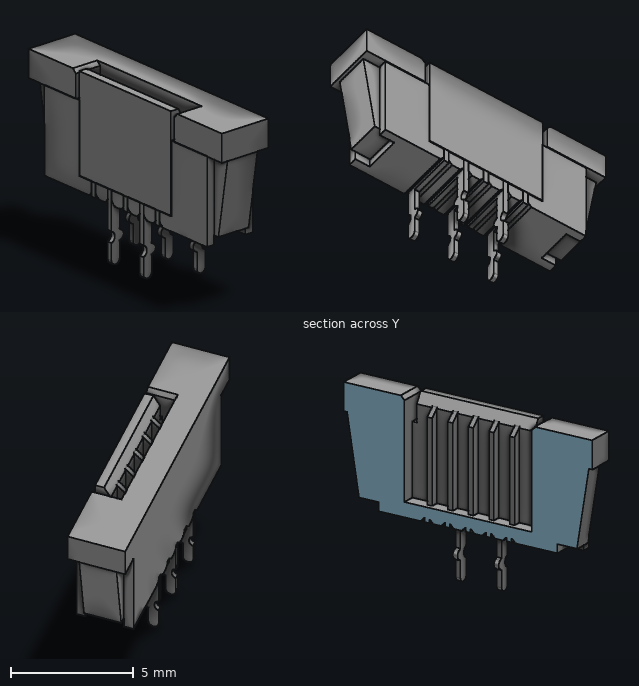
import cadquery as cq

length = 12.1
depth = 2.52
height = 7.96

head_height = 1.3
head_bottom = height - head_height
head_front = -depth / 2
head_back = depth / 2

body_length = 10.16
body_bottom = 2.65
body_setback = 0.04
body_front = head_front + body_setback

groove_width = 1.68
groove_depth = 0.73
core_length = body_length - 2 * groove_depth
leg_gap = 0.03
leg_width = groove_width - 2 * leg_gap
leg_bottom = 3.05
leg_span_top = 11.79
leg_span_bottom = 10.62

opening_width = 6.16
opening_back = 0.05
opening_chamfer = 0.18
cavity_front = -0.57
cavity_floor = 3.34

plate_width = 5.72
plate_bottom = cavity_floor
plate_chamfer_depth = 0.29
plate_chamfer_drop = 0.48

pin_count = 5
pin_row_span = 4.0
pin_pitch = pin_row_span / (pin_count - 1)
pin_thickness = 0.24
pin_width = 0.45
pin_outer = 1.23
pin_embed = 0.36
pin_root = body_bottom + pin_embed
contact_reach = 0.35
contact_embed = 0.04
contact_rise = contact_embed * plate_chamfer_drop / plate_chamfer_depth
contact_drop = 0.36

blade_setback = 0.01
blade_front = head_front + blade_setback

kink_height = 1.25
notch_half_height = 0.25
notch_depth = 0.18
bump_half_height = 0.27
bump_arc_half_height = 0.2
bump_depth = 0.22
bump_shoulder_depth = 0.08

mouth_flare = 0.18


def block(x_size, y_low, y_high, z_low, z_high):
    """Box centred on X between the given Y and Z limits."""
    return (
        cq.Workplane("XY")
        .box(x_size, y_high - y_low, z_high - z_low, centered=(True, False, False))
        .translate((0, y_low, z_low))
    )


def extrude_along_x(yz_outline, width, x_centre=0):
    """Extrude a closed outline in the YZ plane symmetrically about x_centre."""
    return yz_outline.extrude(width / 2, both=True).translate((x_centre, 0, 0))


def make_head():
    """Top slab with the cable opening, chamfered at both ends, cut from its front."""
    head = block(length, head_front, head_back, head_bottom, height)
    half = opening_width / 2
    notch = (
        cq.Workplane("XZ", origin=(0, opening_back, 0))
        .moveTo(-half, head_bottom)
        .lineTo(-half, height - opening_chamfer)
        .lineTo(-half - opening_chamfer, height)
        .lineTo(half + opening_chamfer, height)
        .lineTo(half, height - opening_chamfer)
        .lineTo(half, head_bottom)
        .close()
        .extrude(opening_back - head_front)
    )
    return head.cut(notch)


def make_body():
    """Main block with a groove in each end and the cable cavity."""
    body = block(body_length, body_front, head_back, body_bottom, head_bottom)
    core = block(core_length, body_front, head_back, body_bottom, head_bottom)
    groove_zone = block(body_length, -groove_width / 2, groove_width / 2, body_bottom, head_bottom)
    end_grooves = groove_zone.cut(core)
    cavity = block(opening_width, cavity_front, opening_back, cavity_floor, head_bottom)
    return body.cut(end_grooves).cut(cavity)


def make_legs():
    """Pair of legs that taper downward, reaching in as far as the body core."""
    wedge = (
        cq.Workplane("XZ")
        .moveTo(-leg_span_top / 2, head_bottom)
        .lineTo(leg_span_top / 2, head_bottom)
        .lineTo(leg_span_bottom / 2, leg_bottom)
        .lineTo(-leg_span_bottom / 2, leg_bottom)
        .close()
        .extrude(leg_width / 2, both=True)
    )
    core = block(core_length, head_front, head_back, leg_bottom, head_bottom)
    return wedge.cut(core)


def make_plate():
    """Front wall of the cable opening."""
    outline = (
        cq.Workplane("YZ")
        .moveTo(head_front, plate_bottom)
        .lineTo(head_front, height)
        .lineTo(cavity_front - plate_chamfer_depth, height)
        .lineTo(cavity_front, height - plate_chamfer_drop)
        .lineTo(cavity_front, plate_bottom)
        .close()
    )
    return extrude_along_x(outline, plate_width)


def make_mouth(x):
    """Cutter for the flared mouth, running through the full depth of the body."""
    half = pin_thickness / 2
    return (
        cq.Workplane("XZ", origin=(x, head_back, 0))
        .moveTo(-half - mouth_flare, body_bottom)
        .lineTo(-half, body_bottom + mouth_flare)
        .lineTo(half, body_bottom + mouth_flare)
        .lineTo(half + mouth_flare, body_bottom)
        .close()
        .extrude(depth)
    )


def make_contact(x):
    """Contact blade in the cavity, its sloped top running up onto the plate chamfer."""
    top = height - plate_chamfer_drop + contact_rise
    tip = cavity_front + contact_reach
    outline = (
        cq.Workplane("YZ")
        .moveTo(cavity_front - contact_embed, cavity_floor)
        .lineTo(cavity_front - contact_embed, top)
        .lineTo(tip, top - contact_drop)
        .lineTo(tip, cavity_floor)
        .close()
    )
    return extrude_along_x(outline, pin_thickness, x)


def make_pin(x, side):
    """Solder pin at the back (side = 1) or front (side = -1) of the body."""
    outer = side * pin_outer
    inner = side * (pin_outer - pin_width)
    middle = (outer + inner) / 2
    tip_start = pin_width / 2
    notch_floor = outer - side * notch_depth
    bump_shoulder = inner - side * bump_shoulder_depth
    bump_peak = inner - side * bump_depth
    outline = (
        cq.Workplane("YZ")
        .moveTo(outer, pin_root)
        .lineTo(outer, kink_height + notch_half_height)
        .threePointArc((notch_floor, kink_height), (outer, kink_height - notch_half_height))
        .lineTo(outer, tip_start)
        .threePointArc((middle, 0), (inner, tip_start))
        .lineTo(inner, kink_height - bump_half_height)
        .lineTo(bump_shoulder, kink_height - bump_arc_half_height)
        .threePointArc((bump_peak, kink_height), (bump_shoulder, kink_height + bump_arc_half_height))
        .lineTo(inner, kink_height + bump_half_height)
        .lineTo(inner, pin_root)
        .close()
    )
    return extrude_along_x(outline, pin_thickness, x)


def make_blade(x, y_low, y_high):
    """Part of a contact filling the flared mouth between the given Y limits."""
    return block(pin_thickness, y_low, y_high, body_bottom, cavity_floor).translate((x, 0, 0))


result = make_head().union(make_body()).union(make_legs()).union(make_plate())

for index in range(pin_count):
    x = (index - (pin_count - 1) / 2) * pin_pitch
    in_back_row = index % 2 == 0
    result = result.cut(make_mouth(x)).union(make_contact(x))
    if in_back_row:
        result = result.union(make_blade(x, blade_front, pin_outer))
        result = result.union(make_pin(x, 1))
    else:
        result = result.union(make_blade(x, -pin_outer, pin_outer))
        result = result.union(make_pin(x, -1))